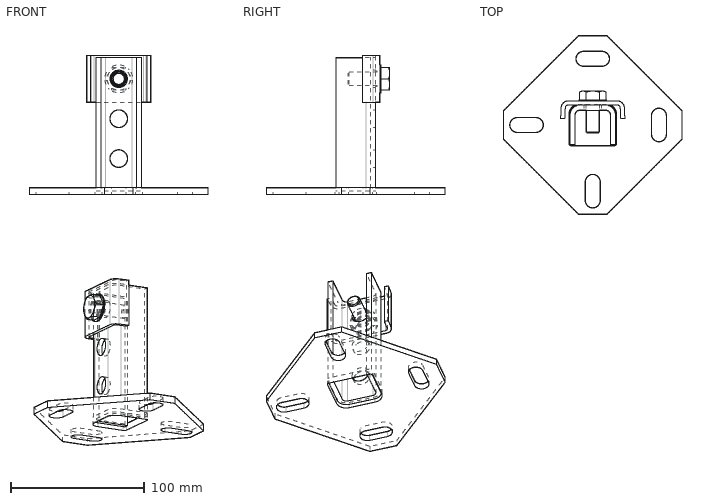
import cadquery as cq
import math

plate_size = 134.4
plate_thickness = 5.2
plate_flat = 21.2
slot_length = 25.0
slot_width = 11.0
slot_offset = 49.7
channel_clearance = 0.5
opening_front_radius = 1.7
opening_back_radius = 7.5

channel_width = 34.4
channel_depth = 30.0
channel_wall = 4.0
channel_inner_radius = 3.2
channel_outer_radius = channel_inner_radius + channel_wall
channel_bottom = 2.8
channel_top = 102.9
channel_back = channel_depth / 2
channel_hole_diameter = 13.0
channel_hole_count = 3
channel_hole_pitch = 30.0

clip_top = 104.5
clip_height = 35.2
clip_thickness = 3.1
clip_bend_width = 47.4
clip_depth = 13.2
clip_outer_radius = 5.2
clip_leg_lean = 3.0
clip_hole_diameter = 11.4
clip_back = channel_back + clip_thickness

bolt_height = clip_top - clip_height / 2
bolt_diameter = 10.0
bolt_length = 24.0
bolt_tip_chamfer = 0.8
head_sides = 6
head_across_flats = 17.0
head_height = 6.6
head_chamfer_angle = 30.0
washer_diameter = 21.0
washer_thickness = 0.8
washer_hole_diameter = 10.5


def cylinder_along_y(diameter, y_start, length, z):
    """Cylinder parallel to Y, growing towards +Y from y_start."""
    plane = cq.Plane(origin=(0, y_start, z), xDir=(1, 0, 0), normal=(0, 1, 0))
    return cq.Workplane(plane).circle(diameter / 2).extrude(length)


def make_plate():
    half = plate_size / 2
    flat = plate_flat / 2
    outline = [
        (flat, half), (half, flat), (half, -flat), (flat, -half),
        (-flat, -half), (-half, -flat), (-half, flat), (-flat, half),
    ]
    plate = cq.Workplane("XY").polyline(outline).close().extrude(plate_thickness)

    slots = [
        (0, slot_offset, 0), (-slot_offset, 0, 0),
        (slot_offset, 0, 90), (0, -slot_offset, 90),
    ]
    for x, y, angle in slots:
        slot = cq.Workplane("XY").center(x, y).slot2D(slot_length, slot_width, angle)
        plate = plate.cut(slot.extrude(plate_thickness))

    opening = (
        cq.Workplane("XY")
        .rect(channel_width + 2 * channel_clearance, channel_depth + 2 * channel_clearance)
        .extrude(plate_thickness)
    )
    opening = opening.edges("|Z and >Y").fillet(opening_back_radius)
    opening = opening.edges("|Z and <Y").fillet(opening_front_radius)
    return plate.cut(opening)


def make_channel():
    height = channel_top - channel_bottom
    outside = (
        cq.Workplane("XY", origin=(0, 0, channel_bottom))
        .rect(channel_width, channel_depth)
        .extrude(height)
        .edges("|Z and >Y").fillet(channel_outer_radius)
    )
    inside = (
        cq.Workplane("XY", origin=(0, -channel_wall, channel_bottom))
        .rect(channel_width - 2 * channel_wall, channel_depth)
        .extrude(height)
        .edges("|Z and >Y").fillet(channel_inner_radius)
    )
    channel = outside.cut(inside)
    for index in range(channel_hole_count):
        z = bolt_height - index * channel_hole_pitch
        channel = channel.cut(cylinder_along_y(channel_hole_diameter, 0, channel_depth, z))
    return channel


def make_clip():
    inner_radius = clip_outer_radius - clip_thickness
    bend_x = clip_bend_width / 2 - clip_outer_radius
    bend_y = clip_back - clip_outer_radius
    lean = math.radians(clip_leg_lean)
    leg_end_y = clip_back - clip_depth
    bend_end_angle = lean
    bend_middle_angle = (bend_end_angle + math.radians(90)) / 2

    def on_bend(radius, angle):
        return (bend_x + radius * math.cos(angle), bend_y + radius * math.sin(angle))

    def leg_end(radius):
        x, y = on_bend(radius, bend_end_angle)
        return (x + (y - leg_end_y) * math.tan(lean), leg_end_y)

    half = (
        cq.Workplane("XY", origin=(0, 0, clip_top - clip_height))
        .moveTo(0, clip_back)
        .lineTo(bend_x, clip_back)
        .threePointArc(
            on_bend(clip_outer_radius, bend_middle_angle),
            on_bend(clip_outer_radius, bend_end_angle),
        )
        .lineTo(*leg_end(clip_outer_radius))
        .lineTo(*leg_end(inner_radius))
        .lineTo(*on_bend(inner_radius, bend_end_angle))
        .threePointArc(on_bend(inner_radius, bend_middle_angle), (bend_x, channel_back))
        .lineTo(0, channel_back)
        .close()
        .extrude(clip_height)
    )
    clip = half.union(half.mirror("YZ"))
    return clip.cut(cylinder_along_y(clip_hole_diameter, channel_back, clip_thickness, bolt_height))


def make_washer():
    disc = cylinder_along_y(washer_diameter, clip_back, washer_thickness, bolt_height)
    hole = cylinder_along_y(washer_hole_diameter, clip_back, washer_thickness, bolt_height)
    return disc.cut(hole)


def make_bolt():
    head_base = clip_back + washer_thickness
    head_plane = cq.Plane(origin=(0, head_base, bolt_height), xDir=(1, 0, 0), normal=(0, 1, 0))
    across_corners = head_across_flats / math.cos(math.radians(180 / head_sides))
    head = cq.Workplane(head_plane).polygon(head_sides, across_corners).extrude(head_height)

    trim = (across_corners - head_across_flats) / 2
    blank = cylinder_along_y(across_corners, head_base, head_height, bolt_height)
    trim_height = trim * math.tan(math.radians(head_chamfer_angle))
    blank = blank.faces(">Y").chamfer(trim_height, trim)
    head = head.intersect(blank)

    shank_length = bolt_length + washer_thickness
    shank = cylinder_along_y(bolt_diameter, clip_back - bolt_length, shank_length, bolt_height)
    shank = shank.faces("<Y").chamfer(bolt_tip_chamfer)
    return head.union(shank)


plate = make_plate()
channel = make_channel()
clip = make_clip()
washer = make_washer()
bolt = make_bolt()

result = cq.Compound.makeCompound([plate.val(), channel.val(), clip.val(), washer.val(), bolt.val()])